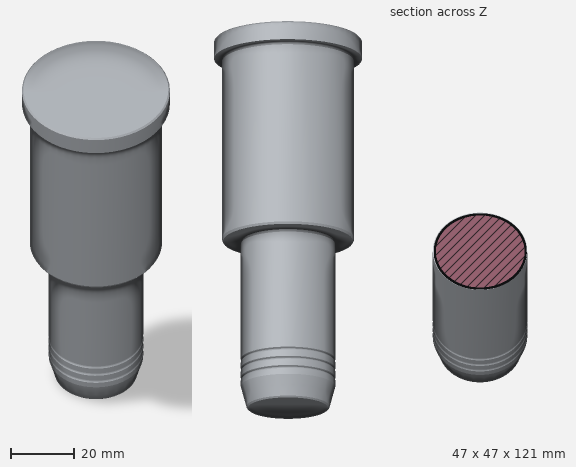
import cadquery as cq

total_height = 121.0
head_height = 6.0
body_bottom = 54.9
head_bottom = total_height - head_height

head_radius = 47.0 / 2
body_radius = 42.0 / 2
pin_radius = 30.0 / 2

head_chamfer = 0.5
body_chamfer_height = 0.7
body_chamfer_width = 0.4

relief_height = 1.0
head_relief_depth = 0.5
head_relief_fillet = 0.4
body_relief_depth = 0.5

taper_height = 7.1
tip_radius = 13.2
tip_chamfer = 0.5

groove_count = 3
first_groove_bottom = 9.1
groove_pitch = 3.0
groove_width = 1.0
groove_depth = 0.5
groove_upper_wall = 0.4


def cylinder(radius, bottom, top):
    """Cylinder on the Z axis between two heights."""
    return cq.Workplane("XY").workplane(offset=bottom).circle(radius).extrude(top - bottom)


def relief_cutter(outer_radius, depth, bottom, width):
    """Ring-shaped cutter that removes the given depth from a cylinder."""
    outer = cylinder(outer_radius, bottom, bottom + width)
    return outer.cut(cylinder(outer_radius - depth, bottom, bottom + width))


def vee_groove_cutter(bottom):
    """Ring cutter with a steep upper wall and a longer sloping lower wall."""
    top = bottom + groove_width
    apex = (pin_radius - groove_depth, top - groove_upper_wall)
    outline = [(pin_radius, bottom), apex, (pin_radius, top)]
    return cq.Workplane("XZ").polyline(outline).close().revolve(360, (0, 0), (0, 1))


def make_head():
    return cylinder(head_radius, head_bottom, total_height).faces(">Z").chamfer(head_chamfer)


def make_body():
    body = cylinder(body_radius, body_bottom, head_bottom)
    body = body.faces("<Z").chamfer(body_chamfer_height, body_chamfer_width)
    relief_bottom = head_bottom - relief_height
    cutter = relief_cutter(body_radius, head_relief_depth, relief_bottom, relief_height)
    inner_edge = cq.selectors.RadiusNthSelector(0)
    cutter = cutter.faces(">Z").edges(inner_edge).fillet(head_relief_fillet)
    return body.cut(cutter)


def make_pin():
    half_profile = [
        (0, 0),
        (tip_radius - tip_chamfer, 0),
        (tip_radius, tip_chamfer),
        (pin_radius, taper_height),
        (pin_radius, body_bottom),
        (0, body_bottom),
    ]
    pin = cq.Workplane("XZ").polyline(half_profile).close().revolve(360, (0, 0), (0, 1))
    relief_bottom = body_bottom - relief_height
    pin = pin.cut(relief_cutter(pin_radius, body_relief_depth, relief_bottom, relief_height))
    for index in range(groove_count):
        bottom = first_groove_bottom + index * groove_pitch
        pin = pin.cut(vee_groove_cutter(bottom))
    return pin


result = make_pin().union(make_body()).union(make_head())